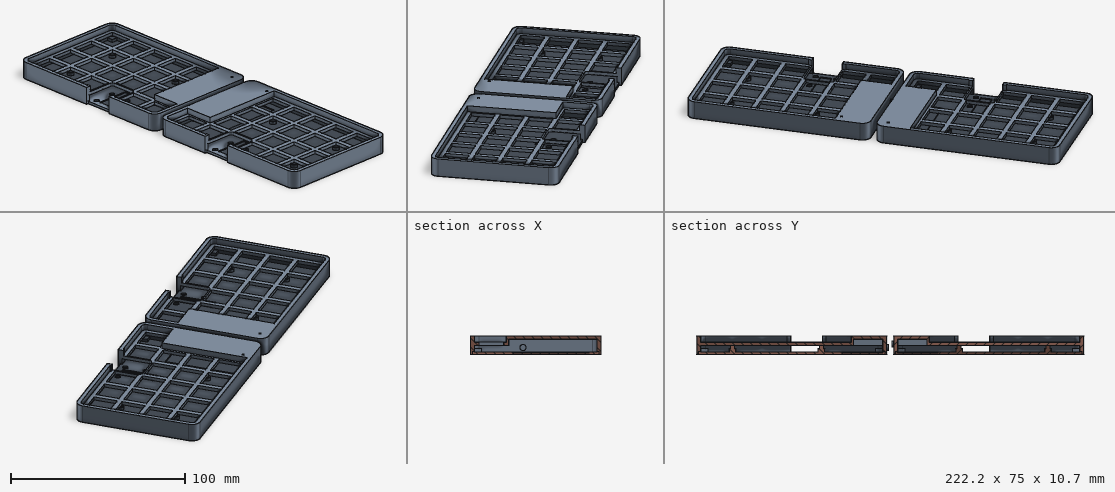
import cadquery as cq


TOTAL_X = 222.2
DEPTH_Y = 75.0
HEIGHT = 10.7
HALF_GAP = 3.8
OUTER_RADIUS = 5.0
WALL = 2.5

HALF_X = (TOTAL_X - HALF_GAP) / 2
LEFT = -TOTAL_X / 2
INNER_SIDE = -HALF_GAP / 2
FRONT = -DEPTH_Y / 2
BACK = DEPTH_Y / 2
HALF_CENTER_X = (LEFT + INNER_SIDE) / 2

FLOOR_TOP = 1.5
SUPPORT_TOP = 3.3
PLATE_BOTTOM = 5.0
PLATE_TOP = 7.0
ROOF = 2.0

COLUMNS = 6
ROWS = 4
GRID_WIDTH = 102.0
KEY_PITCH = GRID_WIDTH / COLUMNS
KEY_HOLE = 14.0
GRID_LEFT = HALF_CENTER_X - COLUMNS * KEY_PITCH / 2
GRID_FRONT = -ROWS * KEY_PITCH / 2

BAY_LEFT = GRID_LEFT + (COLUMNS - 1) * KEY_PITCH
BAY_FRONT = GRID_FRONT + KEY_PITCH
BAY_WALL = 1.5
LIGHT_HOLE_DIAMETER = 1.2
LIGHT_HOLE_Y = 31.8
LEFT_LIGHT_HOLE_X = -8.2
RIGHT_LIGHT_HOLE_X = 19.8
BUTTON_DIAMETER = 3.5
BUTTON_OUT = 0.9
LEFT_BUTTON_YZ = (-9.3, 6.0)
RIGHT_BUTTON_YZ = (-7.3, 4.0)

OPENING_COLUMN = 3
OPENING_WIDTH = 18.0
OPENING_RADIUS = 1.8
RIB_LENGTH = 2.2
RIB_DEPTH = 0.7

FLOOR_INSET = 1.3
CORNER_BLOCK = 4.0
STANDOFF_DIAMETER = 4.0
STANDOFF_PEG_DIAMETER = 2.5
STANDOFF_CROSSINGS = [(1, 1), (1, 3), (4, 3)]
PAD_HOLE_DIAMETER = 3.0
PAD_HOLE_SPACING = 12.5
PAD_HOLE_DEPTH = 0.9
PAD_HOLE_SHIFT_Y = -0.5
SLOT_WIDTH = 6.7
SLOT_LENGTH = 21.3
SLOT_DEPTH = 0.7
SLOT_STEP_LENGTH = 0.7
SLOT_STEP_DEPTH = 0.5
BAY_RECESS_DEPTH = 0.7
BAY_RECESS_LEFT = -27.0
BAY_RECESS_FRONT = -13.0
BAY_RECESS_BACK = 30.5


def key_x(column):
    return GRID_LEFT + (column + 0.5) * KEY_PITCH


def key_y(row):
    return GRID_FRONT + (row + 0.5) * KEY_PITCH


OPENING_X = key_x(OPENING_COLUMN)
OPENING_Y = key_y(0)


def block(x_range, y_range, z_range):
    """Box between the given limits."""
    sizes = [high - low for low, high in (x_range, y_range, z_range)]
    corner = (x_range[0], y_range[0], z_range[0])
    return cq.Workplane("XY").box(*sizes, centered=False).translate(corner)


def half_outline(inset, bottom, top):
    """Rounded slab of one half, inset from its outer walls."""
    slab = cq.Workplane("XY").box(HALF_X - 2 * inset, DEPTH_Y - 2 * inset, top - bottom)
    slab = slab.edges("|Z").fillet(OUTER_RADIUS - inset)
    return slab.translate((HALF_CENTER_X, 0, (bottom + top) / 2))


def key_holes():
    """Square through holes of the key plate."""
    places = [(key_x(column), key_y(0)) for column in range(COLUMNS) if column != OPENING_COLUMN]
    for row in range(1, ROWS):
        places += [(key_x(column), key_y(row)) for column in range(COLUMNS - 1)]
    plate = cq.Workplane("XY").workplane(offset=PLATE_BOTTOM).pushPoints(places)
    return plate.rect(KEY_HOLE, KEY_HOLE).extrude(PLATE_TOP - PLATE_BOTTOM)


def key_well():
    """Space above the key plate, without the lid of the electronics bay."""
    lid = block((BAY_LEFT, 0), (BAY_FRONT, BACK), (0, HEIGHT))
    return half_outline(WALL, PLATE_TOP, HEIGHT).cut(lid)


def bay_space():
    """Hollow under the lid, above the level of the plate's underside."""
    space = block(
        (BAY_LEFT + BAY_WALL, 0), (BAY_FRONT + BAY_WALL, BACK), (PLATE_BOTTOM, HEIGHT - ROOF)
    )
    return space.intersect(half_outline(WALL, 0, HEIGHT))


def front_opening():
    """Cut through the front wall and the key plate, rounded at its back corners."""
    half_width = OPENING_WIDTH / 2
    opening = block(
        (OPENING_X - half_width, OPENING_X + half_width), (FRONT, OPENING_Y + half_width), (0, HEIGHT)
    )
    return opening.edges("|Z and >Y").fillet(OPENING_RADIUS)


def opening_ribs():
    """Thicker stretches of front wall on both sides of the opening."""
    reach = OPENING_WIDTH / 2 + RIB_LENGTH
    wall_inside = FRONT + WALL
    return block(
        (OPENING_X - reach, OPENING_X + reach), (wall_inside, wall_inside + RIB_DEPTH), (PLATE_TOP, HEIGHT)
    )


def make_case():
    """Case of the left half, without light hole and button hole."""
    case = half_outline(0, 0, HEIGHT)
    case = case.cut(half_outline(FLOOR_INSET, 0, FLOOR_TOP))
    case = case.cut(half_outline(WALL, FLOOR_TOP, PLATE_BOTTOM))
    case = case.cut(key_well()).cut(key_holes()).cut(bay_space())
    return case.union(opening_ribs()).cut(front_opening())


def standoffs():
    """Stepped posts under the key plate, at crossings of the key grid."""
    places = [
        (GRID_LEFT + column * KEY_PITCH, GRID_FRONT + row * KEY_PITCH)
        for column, row in STANDOFF_CROSSINGS
    ]
    base = cq.Workplane("XY").workplane(offset=FLOOR_TOP).pushPoints(places)
    shoulders = base.circle(STANDOFF_DIAMETER / 2).extrude(SUPPORT_TOP - FLOOR_TOP)
    pegs = base.circle(STANDOFF_PEG_DIAMETER / 2).extrude(PLATE_BOTTOM - FLOOR_TOP)
    return shoulders.union(pegs)


def corner_blocks():
    """Square blocks in the three corners outside the electronics bay."""
    middle = WALL + CORNER_BLOCK / 2
    places = [
        (LEFT + middle, FRONT + middle),
        (LEFT + middle, BACK - middle),
        (INNER_SIDE - middle, FRONT + middle),
    ]
    base = cq.Workplane("XY").workplane(offset=FLOOR_TOP).pushPoints(places)
    blocks = base.rect(CORNER_BLOCK, CORNER_BLOCK).extrude(SUPPORT_TOP - FLOOR_TOP)
    return blocks.intersect(half_outline(WALL, 0, HEIGHT))


def pad_holes():
    """Four blind holes in the floor inside the front opening."""
    holes = cq.Workplane("XY", origin=(OPENING_X, OPENING_Y + PAD_HOLE_SHIFT_Y, FLOOR_TOP))
    holes = holes.rect(PAD_HOLE_SPACING, PAD_HOLE_SPACING, forConstruction=True).vertices()
    return holes.circle(PAD_HOLE_DIAMETER / 2).extrude(-PAD_HOLE_DEPTH)


def floor_slot():
    """Shallow slot in the floor with a step at its back end."""
    slot_front = OPENING_Y - KEY_HOLE / 2
    slot_back = slot_front + SLOT_LENGTH
    sides = (OPENING_X - SLOT_WIDTH / 2, OPENING_X + SLOT_WIDTH / 2)
    deep = block(sides, (slot_front, slot_back - SLOT_STEP_LENGTH), (FLOOR_TOP - SLOT_DEPTH, FLOOR_TOP))
    step = block(sides, (slot_front, slot_back), (FLOOR_TOP - SLOT_STEP_DEPTH, FLOOR_TOP))
    return deep.union(step)


def bay_recess():
    """Shallow recess in the floor below the electronics bay."""
    return block(
        (BAY_RECESS_LEFT, INNER_SIDE - WALL),
        (BAY_RECESS_FRONT, BAY_RECESS_BACK),
        (FLOOR_TOP - BAY_RECESS_DEPTH, FLOOR_TOP),
    )


def make_floor():
    """Floor plate of the left half."""
    plate = half_outline(FLOOR_INSET, 0, FLOOR_TOP)
    plate = plate.union(standoffs()).union(corner_blocks())
    return plate.cut(pad_holes()).cut(floor_slot()).cut(bay_recess())


def make_button(side, place_yz):
    """Round button through the wall next to the gap; side is -1 for left, 1 for right."""
    y, z = place_yz
    start = (side * (HALF_GAP / 2 + WALL), y, z)
    rod = cq.Workplane("YZ", origin=start).circle(BUTTON_DIAMETER / 2)
    return rod.extrude(-side * (WALL + BUTTON_OUT))


def light_hole(x):
    """Round hole through the lid of the electronics bay."""
    hole = cq.Workplane("XY", origin=(x, LIGHT_HOLE_Y, HEIGHT))
    return hole.circle(LIGHT_HOLE_DIAMETER / 2).extrude(-ROOF)


plain_case = make_case()
left_floor = make_floor()
right_floor = left_floor.mirror("YZ")

left_button = make_button(-1, LEFT_BUTTON_YZ)
right_button = make_button(1, RIGHT_BUTTON_YZ)

left_case = plain_case.cut(left_button).cut(light_hole(LEFT_LIGHT_HOLE_X))
right_case = plain_case.mirror("YZ").cut(right_button).cut(light_hole(RIGHT_LIGHT_HOLE_X))

result = cq.Compound.makeCompound([
    left_case.val(),
    right_case.val(),
    left_floor.val(),
    right_floor.val(),
    left_button.val(),
    right_button.val(),
])